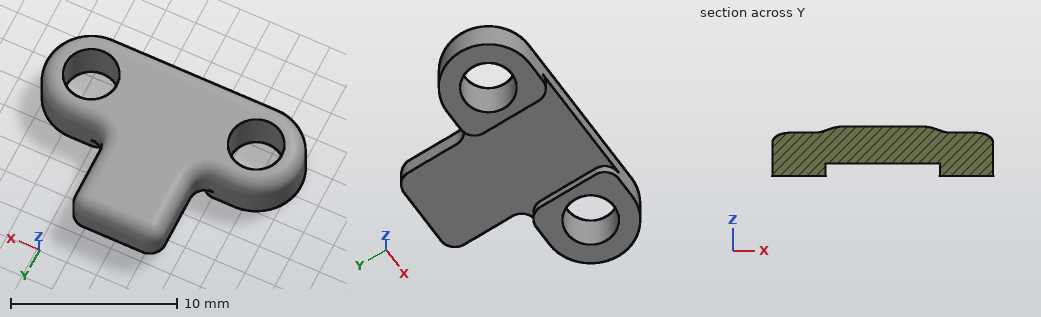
import cadquery as cq

length = 17.0
bar_width = 5.98
thickness = 3.0
hole_diameter = 3.4
end_radius = bar_width / 2
hole_spacing = length - bar_width

stem_width = 6.0
overall_depth = 11.5
stem_tip_y = overall_depth - end_radius

round_radius = 1.0

relief_height = 0.75
relief_width = 6.14

margin = 0.17


def make_bar(height):
    """Round-ended bar standing on Z = 0."""
    return cq.Workplane("XY").slot2D(length, bar_width).extrude(height)


def make_body():
    """T-shaped plate with rounded plan corners and a rounded top edge."""
    stem = cq.Workplane("XY").rect(stem_width, stem_tip_y, centered=(True, False)).extrude(thickness)
    body = make_bar(thickness).union(stem)
    inner_corners = cq.selectors.BoxSelector(
        (-stem_width, end_radius - margin, 0), (stem_width, end_radius + margin, thickness)
    )
    body = body.edges("|Z").edges(inner_corners).fillet(round_radius)
    body = body.edges("|Z").edges(">Y").fillet(round_radius)
    return body.faces(">Z").edges().fillet(round_radius)


def make_feet():
    """Bar ends on either side of the relief, with rounded inner corners."""
    gap = cq.Workplane("XY").rect(relief_width, bar_width).extrude(relief_height)
    feet = make_bar(relief_height).cut(gap)
    corners = cq.selectors.BoxSelector(
        (-relief_width / 2 - margin, -bar_width, 0), (relief_width / 2 + margin, bar_width, relief_height)
    )
    return feet.edges("|Z").edges(corners).fillet(round_radius)


relief = cq.Workplane("XY").rect(2 * length, 2 * length).extrude(relief_height).cut(make_feet())

hole_centres = [(-hole_spacing / 2, 0), (hole_spacing / 2, 0)]
holes = cq.Workplane("XY").pushPoints(hole_centres).circle(hole_diameter / 2).extrude(thickness)

result = make_body().cut(relief).cut(holes)